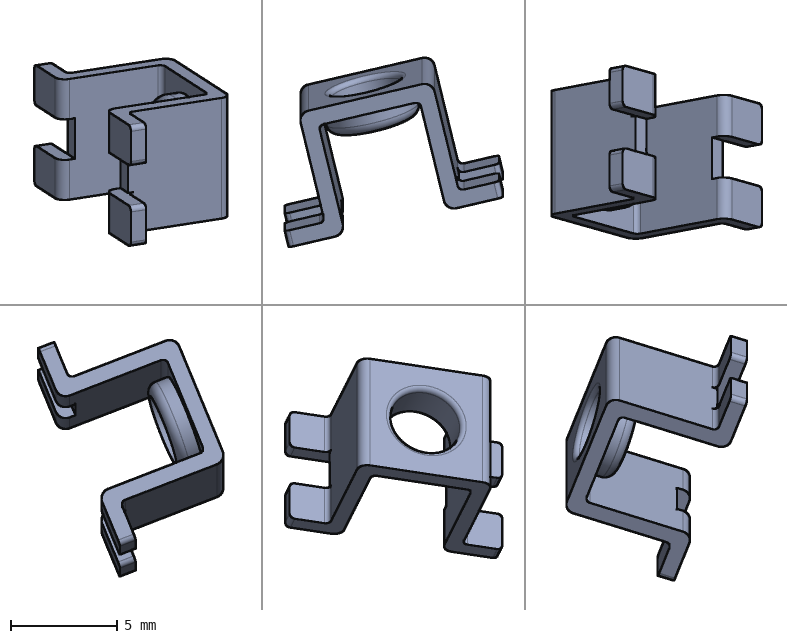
import cadquery as cq

length = 10.4
depth = 6.2
height = 6.0

sheet = 0.8
channel_width = 6.5
outer_bend = 0.5
inner_bend = 0.25
corner_reach = 0.1

foot_height = 2.0
foot_corner = 0.25

collar_diameter = 4.5
hole_diameter = 3.4
collar_length = 1.14
collar_round = 0.5
hole_entry_round = 0.25

half_length = length / 2
half_channel = channel_width / 2
half_inside = half_channel - sheet
web_inner_y = depth - sheet


def bent_sheet():
    """Hat-shaped strip: web at +Y, two legs and outward feet at Y = 0."""
    right_half = [
        (half_channel, depth),
        (half_channel, sheet),
        (half_length, sheet),
        (half_length, 0),
        (half_inside, 0),
        (half_inside, web_inner_y),
    ]
    left_half = [(-x, y) for x, y in reversed(right_half)]
    strip = cq.Workplane("XY").polyline(right_half + left_half).close().extrude(height)

    def bend_edges(x, y):
        near_corner = cq.selectors.BoxSelector(
            (x - corner_reach, y - corner_reach, 0),
            (x + corner_reach, y + corner_reach, height),
        )
        return strip.edges("|Z").edges(near_corner).vals()

    outside = []
    inside = []
    for side in (-1, 1):
        outside += bend_edges(side * half_channel, depth)
        outside += bend_edges(side * half_inside, 0)
        inside += bend_edges(side * half_inside, web_inner_y)
        inside += bend_edges(side * half_channel, sheet)
    strip = strip.newObject(outside).fillet(outer_bend)
    return strip.newObject(inside).fillet(inner_bend)


def foot_gap():
    """Slot that splits each foot in two and leaves the leg between them straight."""
    gap_height = height - 2 * foot_height
    across = cq.Workplane("XY").box(length, sheet, gap_height).translate((0, sheet / 2, height / 2))
    overhang = half_length - half_channel
    for side in (-1, 1):
        center_x = side * (half_channel + overhang / 2)
        beside_leg = cq.Workplane("XY").box(overhang, depth, gap_height)
        across = across.union(beside_leg.translate((center_x, depth / 2, height / 2)))
    return across


def round_foot_corners(body):
    """Round the four corners at the free end of each foot."""
    tips = body.faces("<X or >X").edges("|Y")
    return tips.fillet(foot_corner)


def web_cylinder(diameter, start_y, end_y):
    """Cylinder along Y, centred on the web."""
    base = cq.Workplane("XZ", origin=(0, end_y, height / 2))
    return base.circle(diameter / 2).extrude(end_y - start_y)


def collar():
    """Collar inside the channel, rounded on its free rim."""
    ring = web_cylinder(collar_diameter, web_inner_y - collar_length, web_inner_y + sheet / 2)
    return ring.faces("<Y").edges().fillet(collar_round)


def round_hole_entry(body):
    """Round the hole edge on the outer face of the web."""
    return body.faces(">Y").edges("%CIRCLE").fillet(hole_entry_round)


body = round_foot_corners(bent_sheet().cut(foot_gap()))
hole = web_cylinder(hole_diameter, 0, depth)
result = round_hole_entry(body.union(collar()).cut(hole))
result = result.translate((0, -depth / 2, -height / 2))